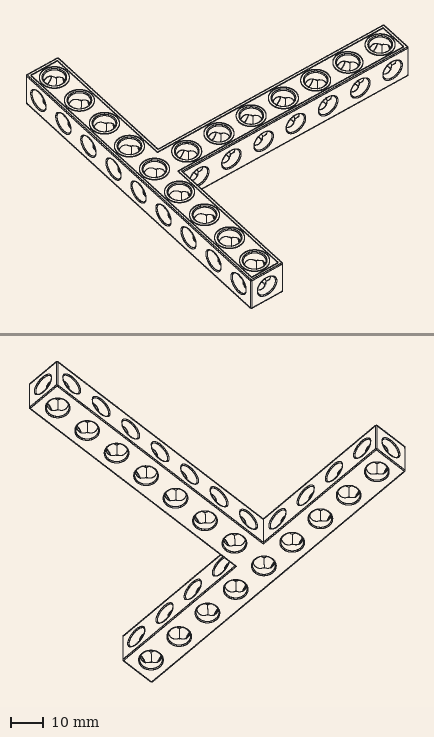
import cadquery as cq

bar_length = 112.5
bar_holes = 9
stem_holes = 7
edge_chamfer = 0.3
hole_diameter = 7.0
rim_chamfer = 0.3
panel_margin = 1.1
panel_depth = 0.2
collar_diameter = 9.2

pitch = bar_length / bar_holes
bar_width = pitch
thickness = pitch
stem_length = stem_holes * pitch
total_depth = bar_width + stem_length

bar_x = [(i - (bar_holes - 1) / 2) * pitch for i in range(bar_holes)]
row_y = [(i + 0.5) * pitch for i in range(stem_holes + 1)]
mid_y = row_y[0]
mid_z = thickness / 2


def tee_prism(inset, bottom, height):
    """T-shaped prism whose outline lies `inset` inside the beam outline."""
    bar_half = bar_length / 2 - inset
    stem_half = bar_width / 2 - inset
    outline = [
        (-bar_half, inset),
        (bar_half, inset),
        (bar_half, bar_width - inset),
        (stem_half, bar_width - inset),
        (stem_half, total_depth - inset),
        (-stem_half, total_depth - inset),
        (-stem_half, bar_width - inset),
        (-bar_half, bar_width - inset),
    ]
    return cq.Workplane("XY", origin=(0, 0, bottom)).polyline(outline).close().extrude(height)


def chamfered_hole(start, direction, length):
    """Cutter for a through hole along +`direction`, with a chamfer at both mouths."""
    radius = hole_diameter / 2
    rim_radius = radius + rim_chamfer
    profile = [
        (0, 0),
        (rim_radius, 0),
        (radius, rim_chamfer),
        (radius, length - rim_chamfer),
        (rim_radius, length),
        (0, length),
    ]
    cutter = cq.Workplane("XY").polyline(profile).close().revolve(360, (0, 0), (0, 1)).val()
    if direction == "X":
        cutter = cutter.rotate((0, 0, 0), (0, 0, 1), -90)
    elif direction == "Z":
        cutter = cutter.rotate((0, 0, 0), (1, 0, 0), 90)
    return cutter.translate(cq.Vector(*start))


beam = tee_prism(0, 0, thickness)
end_edges = beam.faces("<X or >X or >Y").edges("|Z")
face_edges = beam.faces("<Z or >Z").edges()
beam = face_edges.add(end_edges).chamfer(edge_chamfer)

vertical_centres = [(x, mid_y) for x in bar_x] + [(0, y) for y in row_y[1:]]
panel_floor = thickness - panel_depth
collars = (
    cq.Workplane("XY", origin=(0, 0, panel_floor))
    .pushPoints(vertical_centres)
    .circle(collar_diameter / 2)
    .extrude(panel_depth)
)
beam = beam.cut(tee_prism(panel_margin, panel_floor, panel_depth).cut(collars))

cutters = [chamfered_hole((x, y, 0), "Z", thickness) for x, y in vertical_centres]

for x in bar_x:
    length = total_depth if abs(x) < pitch / 2 else bar_width
    cutters.append(chamfered_hole((x, 0, mid_z), "Y", length))

cutters.append(chamfered_hole((-bar_length / 2, mid_y, mid_z), "X", bar_length))
for y in row_y[1:]:
    cutters.append(chamfered_hole((-bar_width / 2, y, mid_z), "X", bar_width))

for cutter in cutters:
    beam = beam.cut(cq.Workplane(cutter))

result = beam